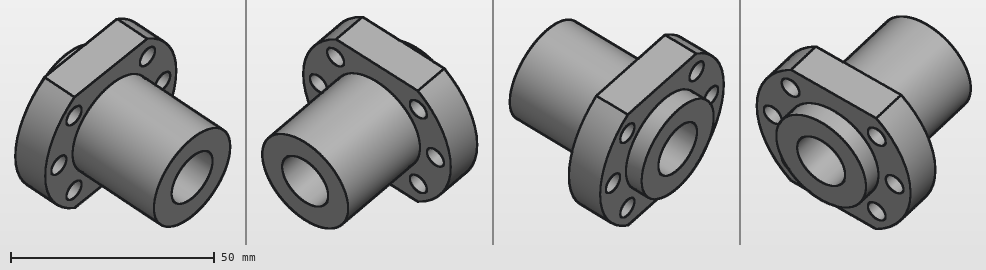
import cadquery as cq

total_length = 42.0
sleeve_diameter = 28.0
bore_diameter = 15.0

flange_diameter = 48.0
flange_height = 40.0
flange_thickness = 10.0
flange_setback = 5.0

bolt_circle_diameter = 38.0
mounting_hole_diameter = 5.5
hole_angles = [side + offset for side in (0, 180) for offset in (-45, 0, 45)]


def make_flange():
    """Disc trimmed by flats at the top and bottom."""
    plane = cq.Workplane("YZ", origin=(flange_setback, 0, 0))
    disc = plane.circle(flange_diameter / 2).extrude(flange_thickness)
    trim = plane.rect(flange_diameter, flange_height).extrude(flange_thickness)
    return disc.intersect(trim)


def make_mounting_holes():
    """Cylinders that pass through the flange on the bolt circle."""
    plane = cq.Workplane("YZ", origin=(flange_setback, 0, 0))
    holes = cq.Workplane("YZ")
    for angle in hole_angles:
        hole = (
            plane.transformed(rotate=(0, 0, angle))
            .center(bolt_circle_diameter / 2, 0)
            .circle(mounting_hole_diameter / 2)
            .extrude(flange_thickness)
        )
        holes = holes.add(hole)
    return holes.combine()


sleeve = cq.Workplane("YZ").circle(sleeve_diameter / 2).extrude(total_length)
bore = cq.Workplane("YZ").circle(bore_diameter / 2).extrude(total_length)

result = sleeve.union(make_flange()).cut(make_mounting_holes()).cut(bore)